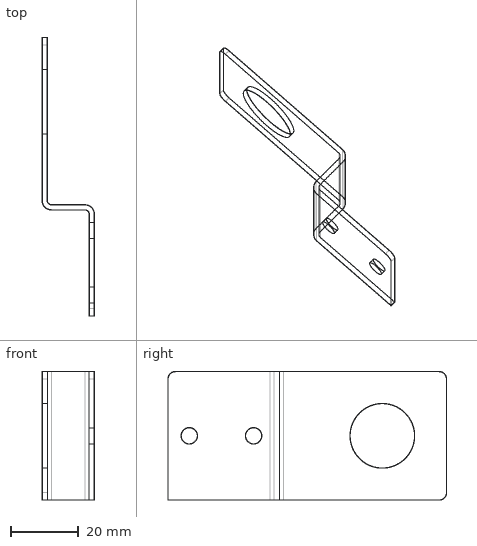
import cadquery as cq

thickness = 1.57
inner_radius = 1.27
outer_radius = inner_radius + thickness

plate_offset = 13.97
offset_width = plate_offset + thickness
length = 82.55
height = 38.1

web_back_y = 33.02
web_front_y = web_back_y - thickness
corner_radius = 2.29

large_hole_diameter = 19.05
large_hole_end_distance = 19.05
large_hole_y = length - large_hole_end_distance
small_hole_diameter = 4.76
small_hole_ys = (6.35, 25.4)


def folded_sheet():
    """Z-shaped strip with sharp folds, then rounded inside and outside both bends."""
    sheet = (
        cq.Workplane("XY")
        .moveTo(0, length)
        .lineTo(0, web_front_y)
        .lineTo(plate_offset, web_front_y)
        .lineTo(plate_offset, 0)
        .lineTo(offset_width, 0)
        .lineTo(offset_width, web_back_y)
        .lineTo(thickness, web_back_y)
        .lineTo(thickness, length)
        .close()
        .extrude(height)
    )
    outer_folds = ((0, web_front_y), (offset_width, web_back_y))
    inner_folds = ((thickness, web_back_y), (plate_offset, web_front_y))
    for folds, radius in ((outer_folds, outer_radius), (inner_folds, inner_radius)):
        for x, y in folds:
            fold_edge = cq.selectors.NearestToPointSelector((x, y, height / 2))
            sheet = sheet.edges("|Z").edges(fold_edge).fillet(radius)
    return sheet


def round_corners(sheet):
    """Round three plate corners; the lower corner of the small plate stays square."""
    sheet = sheet.faces(">Y").edges("|X").fillet(corner_radius)
    return sheet.faces("<Y").edges("|X").edges(">Z").fillet(corner_radius)


def hole_cutter(y, diameter):
    """Cylinder along X, long enough to pass through either plate."""
    return (
        cq.Workplane("YZ")
        .center(y, height / 2)
        .circle(diameter / 2)
        .extrude(offset_width)
    )


result = round_corners(folded_sheet())
result = result.cut(hole_cutter(large_hole_y, large_hole_diameter))
for small_hole_y in small_hole_ys:
    result = result.cut(hole_cutter(small_hole_y, small_hole_diameter))